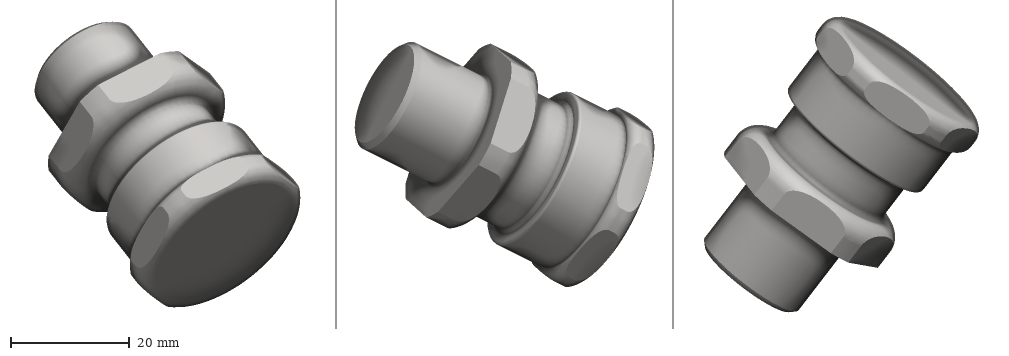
import cadquery as cq
import math


ACROSS_FLATS = 30.0
CORNER_RADIUS = 32.48 / 2

SHAFT_RADIUS = 20.0 / 2
SHAFT_CHAMFER = 0.9
SHAFT_ROOT_FILLET = 0.45
SPIGOT_RADIUS = 25.4 / 2
NECK_RADIUS = 23.3 / 2
SHAFT_LENGTH = 14.95
NECK_START = 22.0
NECK_CONE_START = 29.25

SKIRT_RADIUS = 28.55 / 2
SKIRT_EDGE_FILLET = 0.45
SKIRT_START = 30.0
NUT_HEX_START = 39.4
NUT_FRONT_ROUND = 1.85
NUT_REAR_ROUND = 2.5
TOTAL_LENGTH = 45.0

HEX_ROUND = CORNER_RADIUS - SPIGOT_RADIUS
NECK_STEP = SPIGOT_RADIUS - NECK_RADIUS
SPIGOT_END = NUT_HEX_START

ARC_MIDPOINT = math.sqrt(0.5)


def quarter_arc(profile, center, start_direction, end_direction, radius):
    """Add a quarter arc about `center`, ending in `end_direction`; both directions are unit (x, r) pairs."""
    middle = [c + radius * ARC_MIDPOINT * (s + e) for c, s, e in zip(center, start_direction, end_direction)]
    end = [c + radius * e for c, e in zip(center, end_direction)]
    return profile.threePointArc(tuple(middle), tuple(end))


def revolve_about_x(profile):
    return profile.close().revolve(360, (0, 0, 0), (1, 0, 0))


def hexagon_bar(start, end):
    """Hexagonal bar along X with one pair of flats facing up and down."""
    across_corners = ACROSS_FLATS / math.cos(math.pi / 6)
    return (
        cq.Workplane("YZ", origin=(start, 0, 0))
        .polygon(6, across_corners)
        .extrude(end - start)
    )


def make_fitting():
    shaft = cq.Workplane("XY").moveTo(0, 0)
    shaft = shaft.lineTo(0, SHAFT_RADIUS - SHAFT_CHAMFER)
    shaft = shaft.lineTo(SHAFT_CHAMFER, SHAFT_RADIUS)
    shaft = shaft.lineTo(SHAFT_LENGTH - SHAFT_ROOT_FILLET, SHAFT_RADIUS)
    root_center = (SHAFT_LENGTH - SHAFT_ROOT_FILLET, SHAFT_RADIUS + SHAFT_ROOT_FILLET)
    shaft = quarter_arc(shaft, root_center, (0, -1), (1, 0), SHAFT_ROOT_FILLET)
    shaft = revolve_about_x(shaft.lineTo(SHAFT_LENGTH, 0))

    blank = cq.Workplane("XY").moveTo(SHAFT_LENGTH, 0)
    blank = blank.lineTo(SHAFT_LENGTH, CORNER_RADIUS)
    blank = blank.lineTo(NECK_START - HEX_ROUND, CORNER_RADIUS)
    round_center = (NECK_START - HEX_ROUND, SPIGOT_RADIUS)
    blank = quarter_arc(blank, round_center, (0, 1), (1, 0), HEX_ROUND)
    blank = revolve_about_x(blank.lineTo(NECK_START, 0))
    hexagon = blank.intersect(hexagon_bar(SHAFT_LENGTH, NECK_START))

    neck = cq.Workplane("XY").moveTo(NECK_START, 0)
    neck = neck.lineTo(NECK_START, SPIGOT_RADIUS)
    neck = quarter_arc(neck, (NECK_START + NECK_STEP, SPIGOT_RADIUS), (-1, 0), (0, -1), NECK_STEP)
    neck = neck.lineTo(NECK_CONE_START, NECK_RADIUS)
    neck = neck.lineTo(NECK_CONE_START + NECK_STEP, SPIGOT_RADIUS)
    neck = neck.lineTo(SPIGOT_END, SPIGOT_RADIUS)
    neck = revolve_about_x(neck.lineTo(SPIGOT_END, 0))

    return shaft.union(hexagon).union(neck)


def make_cap_nut(fitting):
    skirt = (
        cq.Workplane("YZ", origin=(SKIRT_START, 0, 0))
        .circle(SKIRT_RADIUS)
        .extrude(NUT_HEX_START - SKIRT_START)
        .faces("<X").edges()
        .fillet(SKIRT_EDGE_FILLET)
    )

    blank = cq.Workplane("XY").moveTo(NUT_HEX_START, 0)
    blank = blank.lineTo(NUT_HEX_START, CORNER_RADIUS - NUT_FRONT_ROUND)
    front_center = (NUT_HEX_START + NUT_FRONT_ROUND, CORNER_RADIUS - NUT_FRONT_ROUND)
    blank = quarter_arc(blank, front_center, (-1, 0), (0, 1), NUT_FRONT_ROUND)
    blank = blank.lineTo(TOTAL_LENGTH - NUT_REAR_ROUND, CORNER_RADIUS)
    rear_center = (TOTAL_LENGTH - NUT_REAR_ROUND, CORNER_RADIUS - NUT_REAR_ROUND)
    blank = quarter_arc(blank, rear_center, (0, 1), (1, 0), NUT_REAR_ROUND)
    blank = revolve_about_x(blank.lineTo(TOTAL_LENGTH, 0))
    hexagon = blank.intersect(hexagon_bar(NUT_HEX_START, TOTAL_LENGTH))

    return skirt.union(hexagon).cut(fitting)


fitting = make_fitting()
cap_nut = make_cap_nut(fitting)

result = cq.Compound.makeCompound([fitting.val(), cap_nut.val()])